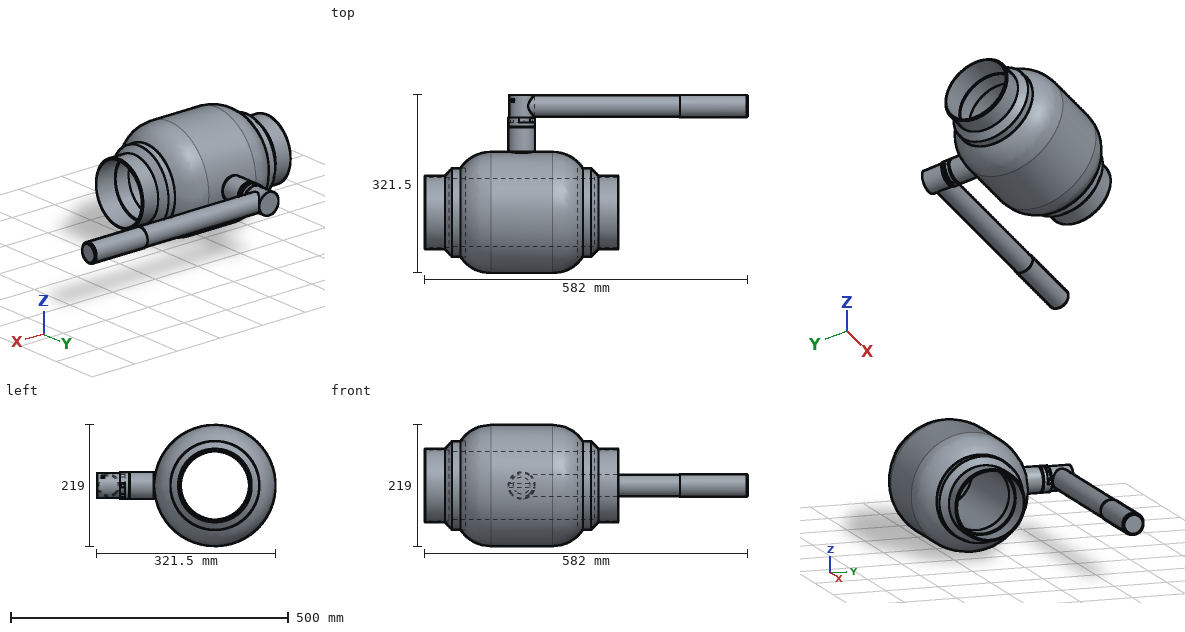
import cadquery as cq
import math


shell_radius = 109.5
shell_half_length = 110.0
shell_straight_half = 55.0
shell_end_radius = 80.5
bore_radius = 61.0

end_half_length = 174.5
pipe_radius = 66.5
pipe_bore_radius = 63.5
pipe_bore_depth = 43.5
pipe_chamfer = 2.0
pipe_start = 138.0
collar_radius = 80.0
collar_outer = 125.0
collar_inner = 100.5

neck_radius = 24.5
neck_bottom = 110.0
neck_top = 170.5
neck_foot_radius = 22.5
groove_bottom = 153.0
groove_width = 2.0
groove_depth = 2.0
notch_depth = 9.0
notch_overlap = 4.5
recess_radius = 20.5
recess_floor = neck_top - notch_depth

hub_radius = 22.5
hub_top = 212.0
stem_radius = 15.0
stop_pin_radius = 3.8
stop_pin_height = recess_floor + notch_depth / 2
stop_pin_half_length = neck_radius

hub_hole_radius = 3.0
hub_hole_depth = 3.0
hub_hole_height = 201.5

grip_radius = 20.5
grip_wall = 0.9
lever_radius = grip_radius - grip_wall
grip_start = 284.5
grip_end = 407.5
grip_chamfer = 3.0
lever_height = hub_top - grip_radius
lever_end = grip_end - grip_chamfer


def cylinder_x(radius, start, end, height=0.0):
    """Cylinder along X between two X positions, with its axis at the given Y."""
    return cq.Workplane("YZ", origin=(start, height, 0)).circle(radius).extrude(end - start)


def cylinder_y(radius, bottom, top):
    """Cylinder on the stem axis between two Y positions."""
    return cq.Workplane("XZ", origin=(0, top, 0)).circle(radius).extrude(top - bottom)


def revolve_x(profile):
    """Turn a closed XY profile about the flow axis."""
    return profile.revolve(360, (0, 0, 0), (1, 0, 0))


def make_shell():
    run = shell_half_length - shell_straight_half
    drop = shell_radius - shell_end_radius
    arc_radius = (run**2 + drop**2) / (2 * drop)
    half_angle = math.asin(run / arc_radius) / 2
    mid_x = shell_straight_half + arc_radius * math.sin(half_angle)
    mid_y = shell_radius - arc_radius * (1 - math.cos(half_angle))
    profile = (
        cq.Workplane("XY")
        .moveTo(-shell_half_length, bore_radius)
        .lineTo(-shell_half_length, shell_end_radius)
        .threePointArc((-mid_x, mid_y), (-shell_straight_half, shell_radius))
        .lineTo(shell_straight_half, shell_radius)
        .threePointArc((mid_x, mid_y), (shell_half_length, shell_end_radius))
        .lineTo(shell_half_length, bore_radius)
        .close()
    )
    left_seat = cylinder_x(collar_radius, -shell_half_length, -collar_inner)
    right_seat = cylinder_x(collar_radius, collar_inner, shell_half_length)
    return revolve_x(profile).cut(left_seat).cut(right_seat)


def make_welding_end(side):
    """Welding end on the -X side (side = -1) or the +X side (side = 1)."""
    bore_step = end_half_length - pipe_bore_depth
    points = [
        (collar_inner, bore_radius),
        (collar_inner, collar_radius),
        (collar_outer, collar_radius),
        (pipe_start, pipe_radius),
        (end_half_length - pipe_chamfer, pipe_radius),
        (end_half_length, pipe_radius - pipe_chamfer),
        (end_half_length, pipe_bore_radius),
        (bore_step, pipe_bore_radius),
        (bore_step, bore_radius),
    ]
    return revolve_x(cq.Workplane("XY").polyline([(side * x, y) for x, y in points]).close())


def make_stop_notch(side):
    """Quarter of the collar, in +X +Z (side = 1) or -X -Z (side = -1), with a little overlap."""
    size = side * (neck_radius + 2 * notch_overlap)
    corner = -side * notch_overlap
    return (
        cq.Workplane("XZ", origin=(0, neck_top, 0))
        .moveTo(corner, corner)
        .rect(size, size, centered=False)
        .extrude(notch_depth)
    )


def make_neck():
    foot = cylinder_y(neck_foot_radius, 0, neck_bottom)
    foot = foot.cut(cylinder_x(shell_radius, -neck_radius, neck_radius))
    neck = cylinder_y(neck_radius, neck_bottom, neck_top).union(foot)

    groove_top = groove_bottom + groove_width
    groove = cylinder_y(neck_radius, groove_bottom, groove_top)
    groove = groove.cut(cylinder_y(neck_radius - groove_depth, groove_bottom, groove_top))
    neck = neck.cut(groove)

    neck = neck.cut(cylinder_y(recess_radius, recess_floor, neck_top))
    for side in (-1, 1):
        neck = neck.cut(make_stop_notch(side))
    return neck


def make_stop_pin():
    return cylinder_x(stop_pin_radius, -stop_pin_half_length, stop_pin_half_length, stop_pin_height)


def make_hub(stop_pin):
    hub = cylinder_y(hub_radius, neck_top, hub_top)
    hub = hub.union(cylinder_y(stem_radius, recess_floor, neck_top))
    floor_offset = (hub_radius - hub_hole_depth) / math.sqrt(2)
    hole_plane = cq.Plane(
        origin=(-floor_offset, hub_hole_height, floor_offset), xDir=(0, 1, 0), normal=(-1, 0, 1)
    )
    hole = cq.Workplane(hole_plane).circle(hub_hole_radius).extrude(2 * hub_hole_depth)
    return hub.cut(hole).cut(stop_pin)


def make_lever():
    lever = cylinder_x(lever_radius, 0, lever_end, lever_height)
    return lever.cut(cylinder_y(hub_radius, neck_top - hub_radius, hub_top + hub_radius))


def make_grip(lever):
    grip = cylinder_x(grip_radius, grip_start, grip_end, lever_height)
    return grip.faces(">X").chamfer(grip_chamfer).cut(lever)


shell = make_shell()
welding_ends = [make_welding_end(side) for side in (-1, 1)]
neck = make_neck()
stop_pin = make_stop_pin()
hub = make_hub(stop_pin)
lever = make_lever()
grip = make_grip(lever)

result = cq.Compound.makeCompound(
    [
        shell.val(),
        *[end.val() for end in welding_ends],
        neck.val(),
        stop_pin.val(),
        hub.val(),
        lever.val(),
        grip.val(),
    ]
)